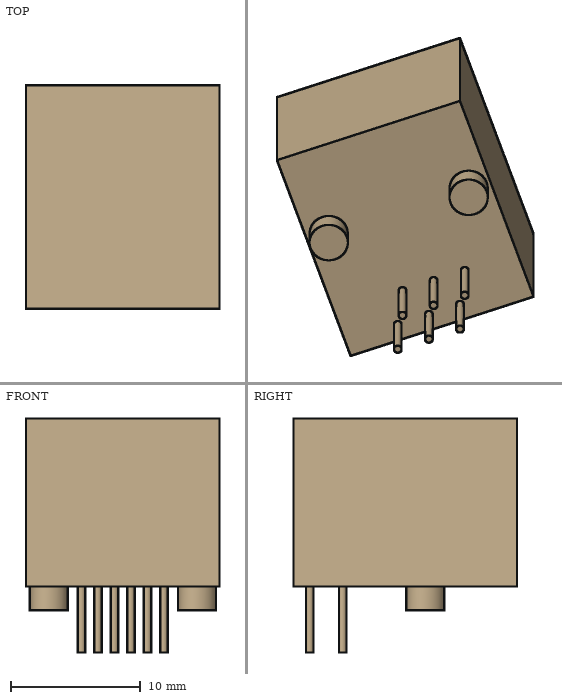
import cadquery as cq

housing_width = 14.95
housing_depth = 17.25
total_height = 18.06
pin_length = 5.08
housing_height = total_height - pin_length

pin_count = 6
pin_diameter = 0.6
pin_pitch = 1.27
front_row_y = 1.27
row_spacing = 2.54
back_row_y = front_row_y + row_spacing

peg_diameter = 2.95
peg_length = 1.83
peg_spacing = 11.43
peg_to_back_row = 6.35
peg_y = back_row_y + peg_to_back_row


def make_housing():
    """Rectangular block centred on X = 0."""
    return cq.Workplane("XY").box(
        housing_width, housing_depth, housing_height, centered=(True, False, False)
    )


def make_post(x, y, diameter, length):
    """Round post hanging from the underside of the housing."""
    return cq.Workplane("XY").center(x, y).circle(diameter / 2).extrude(-length)


def make_pin(index):
    """Contact pin, counted from the -X end; even indices sit in the back row."""
    x = (index - (pin_count - 1) / 2) * pin_pitch
    y = back_row_y if index % 2 == 0 else front_row_y
    return make_post(x, y, pin_diameter, pin_length)


def make_peg(side):
    """Locating peg on the -X side (side = -1) or the +X side (side = 1)."""
    return make_post(side * peg_spacing / 2, peg_y, peg_diameter, peg_length)


housing = make_housing()
pins = [make_pin(index) for index in range(pin_count)]
pegs = [make_peg(side) for side in (-1, 1)]

result = cq.Compound.makeCompound(
    [housing.val()] + [pin.val() for pin in pins] + [peg.val() for peg in pegs]
)